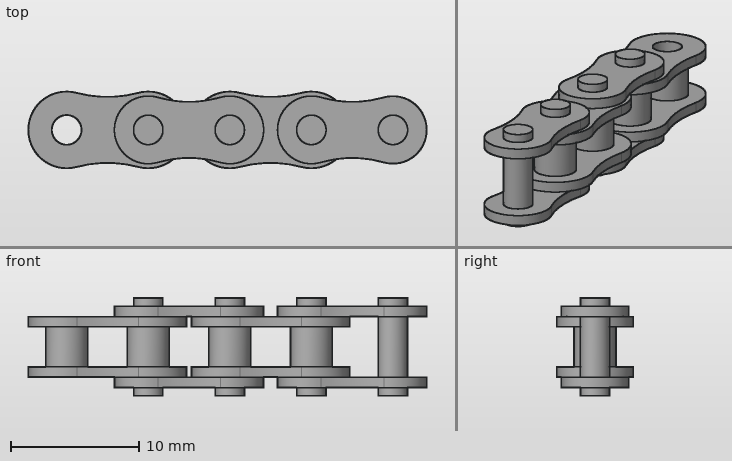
import cadquery as cq
import math

chain_length = 31.03
link_count = 4
inner_plate_width = 6.0
inner_waist_width = 5.15
outer_plate_width = 5.28
outer_waist_width = 4.38
plate_thickness = 0.8
inner_plate_gap = 3.1
pin_diameter = 2.3
pin_length = 7.63
roller_diameter = 3.3

pitch = (chain_length - inner_plate_width / 2 - outer_plate_width / 2) / link_count
joint_positions = [index * pitch for index in range(link_count + 1)]
inner_link_starts = joint_positions[0:link_count:2]
outer_link_starts = joint_positions[1:link_count:2]
inner_plate_base = inner_plate_gap / 2
outer_plate_base = inner_plate_base + plate_thickness


def upright_cylinder(x, diameter, length):
    """Cylinder along Z at a joint, centred on Z = 0."""
    return cq.Workplane("XY", origin=(x, 0, -length / 2)).circle(diameter / 2).extrude(length)


def link_plate(start_x, base_z, width, waist_width):
    """Two round ends joined by concave arcs that are tangent to both ends."""
    end_radius = width / 2
    half_waist = waist_width / 2
    half_pitch = pitch / 2
    neck_radius = (half_pitch**2 + half_waist**2 - end_radius**2) / (2 * (end_radius - half_waist))
    neck_angle = math.asin(half_pitch / (end_radius + neck_radius))
    tangent_x = end_radius * math.sin(neck_angle)
    tangent_y = end_radius * math.cos(neck_angle)
    return (
        cq.Workplane("XY", origin=(start_x, 0, base_z))
        .moveTo(tangent_x, tangent_y)
        .threePointArc((half_pitch, half_waist), (pitch - tangent_x, tangent_y))
        .threePointArc((pitch + end_radius, 0), (pitch - tangent_x, -tangent_y))
        .threePointArc((half_pitch, -half_waist), (tangent_x, -tangent_y))
        .threePointArc((-end_radius, 0), (tangent_x, tangent_y))
        .close()
        .extrude(plate_thickness)
    )


def plate_pair(start_x, base_z, width, waist_width):
    """One link's plate above the mid-plane and its mirror image below."""
    upper_plate = link_plate(start_x, base_z, width, waist_width)
    return upper_plate.union(upper_plate.mirror("XY"))


chain = cq.Workplane("XY")
for roller_x in joint_positions[:-1]:
    chain = chain.union(upright_cylinder(roller_x, roller_diameter, inner_plate_gap))

for link_x in inner_link_starts:
    chain = chain.union(plate_pair(link_x, inner_plate_base, inner_plate_width, inner_waist_width))

for link_x in outer_link_starts:
    chain = chain.union(plate_pair(link_x, outer_plate_base, outer_plate_width, outer_waist_width))

for pin_x in joint_positions[1:]:
    chain = chain.union(upright_cylinder(pin_x, pin_diameter, pin_length))

open_joint = upright_cylinder(joint_positions[0], pin_diameter, pin_length)
chain = chain.cut(open_joint)

result = chain.translate((inner_plate_width / 2 - chain_length / 2, 0, 0))